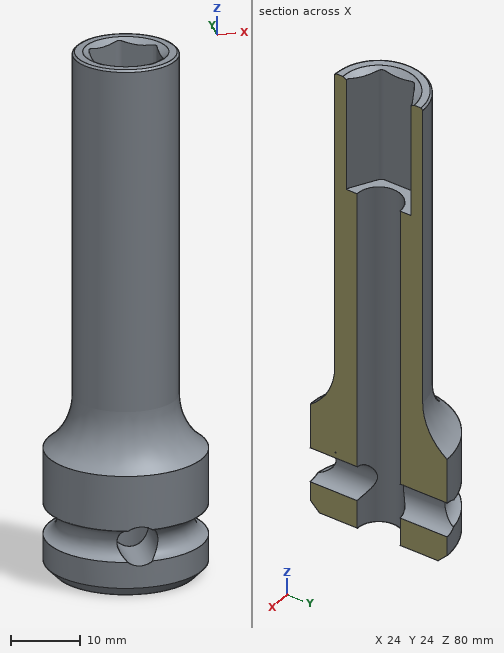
import cadquery as cq
import math

length = 80.0
base_radius = 12.0
stem_radius = 7.8

shoulder_z = 18.9
flare_top_z = 27.2
base_chamfer_width = 1.6
base_chamfer_height = 1.6
rim_chamfer_width = 0.3
rim_chamfer_height = 0.3

groove_z = 8.0
groove_half_height = 2.4
groove_depth = 2.0
cross_hole_diameter = 6.0

hex_across_flats = 10.0
hex_corner_radius = 1.0
hex_depth = 20.0
lead_in_radius = 6.2
lead_in_half_angle = math.radians(60)
bore_diameter = 7.5


def make_body():
    """Revolve the outer profile, drawn as radius against height."""
    flare_width = base_radius - stem_radius
    flare_height = flare_top_z - shoulder_z
    flare_radius = (flare_width**2 + flare_height**2) / (2 * flare_width)
    half_sweep = math.asin(flare_height / flare_radius) / 2
    flare_middle = (
        stem_radius + flare_radius * (1 - math.cos(half_sweep)),
        flare_top_z - flare_radius * math.sin(half_sweep),
    )
    return (
        cq.Workplane("XZ")
        .lineTo(base_radius - base_chamfer_width, 0)
        .lineTo(base_radius, base_chamfer_height)
        .lineTo(base_radius, groove_z - groove_half_height)
        .threePointArc(
            (base_radius - groove_depth, groove_z),
            (base_radius, groove_z + groove_half_height),
        )
        .lineTo(base_radius, shoulder_z)
        .threePointArc(flare_middle, (stem_radius, flare_top_z))
        .lineTo(stem_radius, length - rim_chamfer_height)
        .lineTo(stem_radius - rim_chamfer_width, length)
        .lineTo(0, length)
        .close()
        .revolve(360, (0, 0), (0, 1))
    )


def make_hexagon():
    """Hexagonal pocket with rounded corners, two of them on the Y axis."""
    across_corners = hex_across_flats / math.cos(math.radians(30))
    return (
        cq.Workplane("XY", origin=(0, 0, length - hex_depth))
        .transformed(rotate=(0, 0, 90))
        .polygon(6, across_corners)
        .extrude(hex_depth)
        .edges("|Z")
        .fillet(hex_corner_radius)
    )


def make_lead_in():
    """Cone that opens the mouth of the hexagon."""
    cone_height = lead_in_radius / math.tan(lead_in_half_angle)
    return (
        cq.Workplane("XZ", origin=(0, 0, length))
        .lineTo(lead_in_radius, 0)
        .lineTo(0, -cone_height)
        .close()
        .revolve(360, (0, 0), (0, 1))
    )


def make_bore():
    return cq.Workplane("XY").circle(bore_diameter / 2).extrude(length)


def make_cross_hole():
    """Hole along Y through both walls of the base."""
    return (
        cq.Workplane("XZ", origin=(0, 0, groove_z))
        .circle(cross_hole_diameter / 2)
        .extrude(base_radius, both=True)
    )


result = make_body()
for cavity in (make_hexagon(), make_lead_in(), make_bore(), make_cross_hole()):
    result = result.cut(cavity)